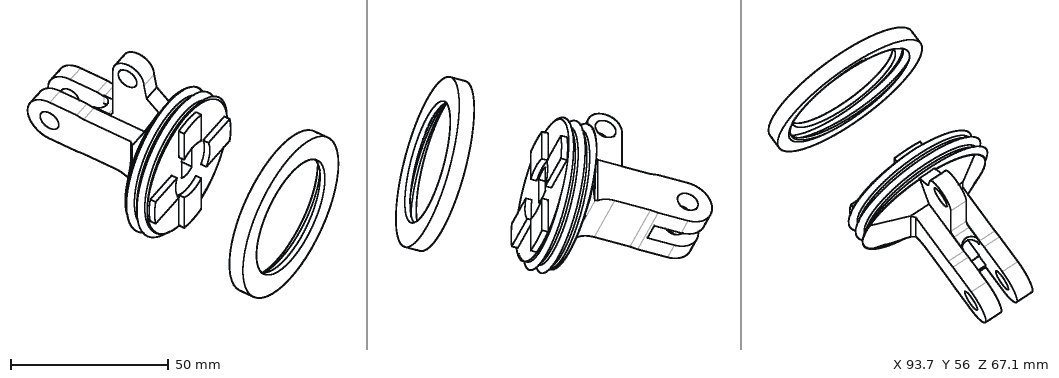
import cadquery as cq
import math


TOTAL_LENGTH = 93.7

RING_DIAMETER = 56.0
RING_HOLE_DIAMETER = 40.0
RING_THICKNESS = 5.15
RING_SEAT_DEPTH = 3.4

CORE_DIAMETER = 45.15
CREST_DIAMETER = 49.7
THREAD_PITCH = 3.9
THREAD_BASE_WIDTH = 3.4
THREAD_OVERLAP = 0.3
DISC_THREAD_ANGLE = 0
RING_THREAD_ANGLE = 72

DISC_FRONT = 45.6
DISC_BACK = 54.5

SPOKE_RIM_DIAMETER = 44.6
SPOKE_BACK = 56.6
SPOKE_WIDTH = 10.0
SPOKE_CLEARANCE_DIAMETER = 20.0
SPOKE_CLEARANCE_Z = 1.0

ARM_Y = -0.3
ARM_WIDTH = 18.1
FORK_RADIUS = 8.3
FORK_Z = 4.1
HOLE_DIAMETER = 7.0
SLOT_WIDTH = 6.0
SLOT_FLOOR_FRONT = 17.4
SLOT_ROUND_X = 21.2
STEP_START = 18.5
STEP_END = SLOT_ROUND_X
STEP_TOP = 0.5
STEP_BOTTOM = 0.3
BORE_DIAMETER = 11.8
BORE_Z = 3.65

COLLAR_START = 39.1
ROOT_FRONT = 40.5
ROOT_WIDTH = 20.2
ROOT_BOTTOM = -7.4
HAUNCH_START = 33.3
RIDGE_X = 42.5
RIDGE_Z = -11.4
FLARE_RADIUS = 23.8
FLARE_Y = 1.1
FLARE_ANGLES = (27, 146, 213, 329)

LUG_X = 34.3
LUG_Z = 33.2
LUG_RADIUS = 5.9
LUG_HOLE_X = 34.0
LUG_HOLE_Z = 32.7
LUG_FILLET = 1.7
LUG_BACK_BEND = (41.2, 27.6)
LUG_BACK_FOOT = (46.8, 22.9)

fork_top = FORK_Z + FORK_RADIUS
fork_bottom = FORK_Z - FORK_RADIUS
arm_top = fork_top - STEP_TOP
arm_bottom = fork_bottom + STEP_BOTTOM
slot_floor = BORE_Z - BORE_DIAMETER / 2


def plate(outline, width):
    """Extrude an XZ outline symmetrically about the middle plane of the arm."""
    return outline.extrude(width / 2, both=True).translate((0, ARM_Y, 0))


def cross_pin(x, z, diameter):
    """Cylinder along Y that drills a hole through the arm."""
    return plate(cq.Workplane("XZ").center(x, z).circle(diameter / 2), 2 * ARM_WIDTH)


def x_cylinder(diameter, start, end, z=0.0, y=0.0):
    """Cylinder along X between two X positions."""
    return cq.Workplane("YZ", origin=(start, y, z)).circle(diameter / 2).extrude(end - start)


def make_arm_plan():
    """Arm seen from above: parallel sides that widen just in front of the root."""
    half_arm = ARM_WIDTH / 2
    half_root = ROOT_WIDTH / 2
    return (
        cq.Workplane("XY", origin=(0, ARM_Y, ROOT_BOTTOM))
        .moveTo(0, -half_arm)
        .lineTo(COLLAR_START, -half_arm)
        .lineTo(ROOT_FRONT, -half_root)
        .lineTo(ROOT_FRONT, half_root)
        .lineTo(COLLAR_START, half_arm)
        .lineTo(0, half_arm)
        .close()
        .extrude(fork_top - ROOT_BOTTOM)
    )


def make_arm():
    """Fork cheeks with a small step down behind the fork and a rounded haunch below."""
    drop = arm_bottom - ROOT_BOTTOM
    run = ROOT_FRONT - HAUNCH_START
    haunch_radius = (run**2 + drop**2) / (2 * drop)
    half_angle = math.asin(run / haunch_radius) / 2
    haunch_middle = (
        HAUNCH_START + haunch_radius * math.sin(half_angle),
        arm_bottom - haunch_radius * (1 - math.cos(half_angle)),
    )
    outline = (
        cq.Workplane("XZ")
        .moveTo(FORK_RADIUS, fork_top)
        .lineTo(STEP_START, fork_top)
        .lineTo(STEP_END, arm_top)
        .lineTo(ROOT_FRONT, arm_top)
        .lineTo(ROOT_FRONT, ROOT_BOTTOM)
        .threePointArc(haunch_middle, (HAUNCH_START, arm_bottom))
        .lineTo(STEP_END, arm_bottom)
        .lineTo(STEP_START, fork_bottom)
        .lineTo(FORK_RADIUS, fork_bottom)
        .threePointArc((0, FORK_Z), (FORK_RADIUS, fork_top))
        .close()
    )
    return plate(outline, ROOT_WIDTH).intersect(make_arm_plan())


def flare_point(degrees):
    """Point on the rim of the flared root, on the front plane of the disc."""
    angle = math.radians(degrees)
    return cq.Vector(DISC_FRONT, FLARE_Y + FLARE_RADIUS * math.cos(angle), FLARE_RADIUS * math.sin(angle))


def flare_arc(start, end):
    """Arc of the flare rim between two angles."""
    return cq.Edge.makeThreePointArc(flare_point(start), flare_point((start + end) / 2), flare_point(end))


def make_root():
    """Ruled transition from the rectangular arm section to the round disc face."""
    left = ARM_Y + ROOT_WIDTH / 2
    right = ARM_Y - ROOT_WIDTH / 2
    corners = [
        cq.Vector(ROOT_FRONT, left, arm_top),
        cq.Vector(ROOT_FRONT, right, arm_top),
        cq.Vector(ROOT_FRONT, right, ROOT_BOTTOM),
        cq.Vector(ROOT_FRONT, left, ROOT_BOTTOM),
    ]
    top_left, top_right, bottom_right, bottom_left = FLARE_ANGLES

    front_edges = [cq.Edge.makeLine(corners[i], corners[(i + 1) % 4]) for i in range(4)]
    top, right_side, bottom, left_side = front_edges
    top_arc = flare_arc(top_left, top_right)
    right_arc = flare_arc(top_right, bottom_right)
    bottom_arc = flare_arc(bottom_right, bottom_left)
    left_arc = flare_arc(bottom_left, top_left + 360)
    ridge = cq.Edge.makeThreePointArc(
        flare_point(bottom_right), cq.Vector(RIDGE_X, ARM_Y, RIDGE_Z), flare_point(bottom_left)
    )
    ruled_pairs = [
        (top, top_arc),
        (right_side, right_arc),
        (bottom, ridge),
        (ridge, bottom_arc),
        (left_side, left_arc),
    ]
    faces = [cq.Face.makeRuledSurface(first, second) for first, second in ruled_pairs]
    faces.append(cq.Face.makeFromWires(cq.Wire.assembleEdges(front_edges)))
    rim = cq.Wire.assembleEdges([top_arc, right_arc, bottom_arc, left_arc])
    faces.append(cq.Face.makeFromWires(rim))
    return cq.Workplane(cq.Solid.makeSolid(cq.Shell.makeShell(faces)).fix())


def make_lug():
    """Upright lug: round head, straight front, and a back that slopes down onto the disc."""
    head_right = LUG_X + LUG_RADIUS
    head_left = LUG_X - LUG_RADIUS
    foot_x, foot_z = LUG_BACK_FOOT
    outline = (
        cq.Workplane("XZ")
        .moveTo(head_left - LUG_FILLET, fork_top)
        .radiusArc((head_left, fork_top + LUG_FILLET), -LUG_FILLET)
        .lineTo(head_left, LUG_Z)
        .threePointArc((LUG_X, LUG_Z + LUG_RADIUS), (head_right, LUG_Z))
        .lineTo(*LUG_BACK_BEND)
        .lineTo(foot_x, foot_z)
        .lineTo(foot_x, FORK_Z)
        .lineTo(SLOT_FLOOR_FRONT, FORK_Z)
        .lineTo(SLOT_FLOOR_FRONT, fork_top)
        .close()
    )
    return plate(outline, SLOT_WIDTH)


def make_slot():
    """Fork slot: square end below the bore, round end above it."""
    depth = fork_top - fork_bottom
    lower = plate(
        cq.Workplane("XZ", origin=(0, 0, fork_bottom)).rect(2 * SLOT_FLOOR_FRONT, 2 * depth), SLOT_WIDTH
    )
    upper = (
        cq.Workplane("XY", origin=(0, ARM_Y, slot_floor))
        .rect(2 * SLOT_ROUND_X, SLOT_WIDTH)
        .extrude(depth)
        .union(
            cq.Workplane("XY", origin=(SLOT_ROUND_X, ARM_Y, BORE_Z))
            .circle(SLOT_WIDTH / 2)
            .extrude(depth)
        )
    )
    return lower.union(upper)


def make_bore():
    """Bore along X as wide as the slot, from the slot end out through the disc."""
    bore = x_cylinder(BORE_DIAMETER, SLOT_ROUND_X, SPOKE_BACK, BORE_Z, ARM_Y)
    band = cq.Workplane("XY", origin=(0, ARM_Y, BORE_Z)).box(2 * SPOKE_BACK, SLOT_WIDTH, BORE_DIAMETER)
    return bore.intersect(band)


def threaded_plug(front, back, start_angle):
    """Cylinder with a sharp right-handed thread that runs out at both flat ends.

    The crest leaves the front end at start_angle, in degrees from +Y toward +Z.
    """
    core_radius = CORE_DIAMETER / 2
    root_radius = core_radius - THREAD_OVERLAP
    half_base = THREAD_BASE_WIDTH / 2
    length = back - front + 2 * THREAD_PITCH
    helix = cq.Wire.makeHelix(THREAD_PITCH, length, core_radius)
    ridge = (
        cq.Workplane("XZ")
        .moveTo(root_radius, -half_base)
        .lineTo(CREST_DIAMETER / 2, 0)
        .lineTo(root_radius, half_base)
        .close()
        .sweep(helix, isFrenet=True)
        .rotate((0, 0, 0), (1, 1, 1), 120)
        .rotate((0, 0, 0), (1, 0, 0), start_angle)
        .translate((front - THREAD_PITCH, 0, 0))
    )
    slab = x_cylinder(RING_DIAMETER, front, back)
    return x_cylinder(CORE_DIAMETER, front, back).union(ridge.intersect(slab))


def make_spokes():
    """Four spokes in a cross on the back of the disc, hollowed round the middle."""
    height = SPOKE_BACK - DISC_BACK
    bar_length = 2 * SPOKE_RIM_DIAMETER
    face = cq.Workplane("YZ", origin=(DISC_BACK, 0, 0))
    level_bar = face.rect(bar_length, SPOKE_WIDTH).extrude(height)
    upright_bar = face.rect(SPOKE_WIDTH, bar_length).extrude(height)
    rim = x_cylinder(SPOKE_RIM_DIAMETER, DISC_BACK, SPOKE_BACK)
    middle = x_cylinder(SPOKE_CLEARANCE_DIAMETER, DISC_BACK, SPOKE_BACK, SPOKE_CLEARANCE_Z)
    return level_bar.union(upright_bar).intersect(rim).cut(middle)


def make_cap():
    """Arm, root, disc and spokes, opened by the slot and bore, with the lug in the middle."""
    disc = threaded_plug(DISC_FRONT, DISC_BACK, DISC_THREAD_ANGLE)
    body = make_arm().union(make_root()).union(disc).union(make_spokes()).union(make_lug())
    body = body.cut(make_slot()).cut(make_bore())
    fork_hole = cross_pin(FORK_RADIUS, FORK_Z, HOLE_DIAMETER)
    lug_hole = cross_pin(LUG_HOLE_X, LUG_HOLE_Z, HOLE_DIAMETER)
    return body.cut(fork_hole).cut(lug_hole)


def make_ring():
    """Flat ring with a threaded seat facing the cap."""
    front = TOTAL_LENGTH - RING_THICKNESS
    ring = x_cylinder(RING_DIAMETER, front, TOTAL_LENGTH)
    seat = threaded_plug(front, front + RING_SEAT_DEPTH, RING_THREAD_ANGLE)
    hole = x_cylinder(RING_HOLE_DIAMETER, front, TOTAL_LENGTH)
    return ring.cut(seat).cut(hole)


cap = make_cap()
ring = make_ring()
result = cq.Compound.makeCompound([cap.val(), ring.val()])